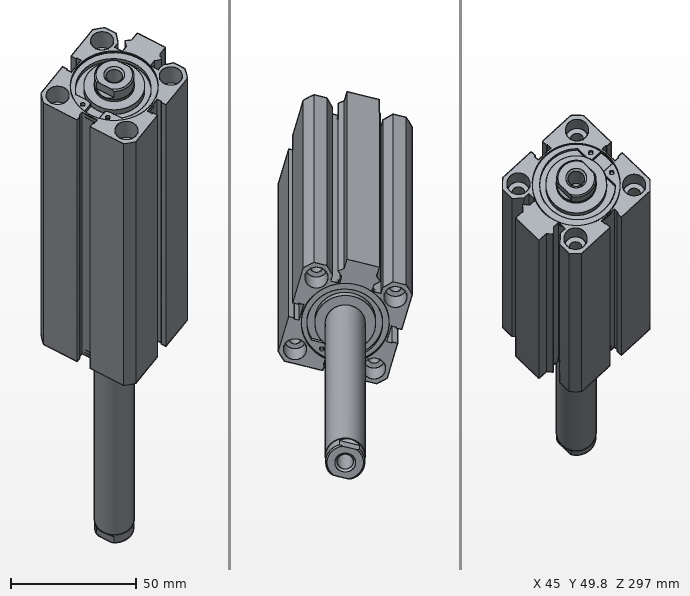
import cadquery as cq
import math


barrel_width = 45.0
barrel_length = 158.3
half_width = barrel_width / 2
corner_flat = 19.0
corner_radius = math.hypot(half_width, corner_flat)
slot_mouth_width = 6.2
slot_inner_width = 7.0
slot_lip = 2.5
slot_floor = 18.0

rib_top = 27.3
rib_width = 13.5
channel_width = 20.8
channel_floor = 16.3
rib_foot_overlap = 0.5
barb_width = 17.5
barb_top = 23.2
barb_tip = 21.5
barb_bottom = 19.3

hole_pitch = 32.7
hole_diameter = 5.0
counterbore_diameter = 9.2
counterbore_depth = 10.5

bore_radius = 17.5
ring_outer_radius = 17.8
ring_inner_radius = 15.0
ring_inner_offset = 0.75
ring_thickness = 1.8
ring_depth = 1.2
ring_gap = 6.8
lug_edge = 11.3
lug_hole_diameter = 1.8
lug_hole_x = 6.0
lug_hole_y = -14.0
cover_thickness = 14.8
collar_radius = 12.2
collar_clearance = 0.3

total_length = 297.0
rod_diameter = 16.0
rod_top_projection = 7.0
tip_diameter = 15.7
tip_length = 6.0
tip_chamfer = 0.5
flats_width = 13.5
thread_diameter = 6.5
thread_depth = 14.8
thread_countersink = 8.3
drill_point_angle = 118.0

rod_top = barrel_length + rod_top_projection
rod_bottom = rod_top - total_length


def cylinder(radius, bottom, height):
    return cq.Workplane("XY").workplane(offset=bottom).circle(radius).extrude(height)


def at_both_ends(shape):
    """Return the shape made for the upper barrel end and its mirror image at the lower end."""
    return [shape, shape.mirror("XY", (0, 0, barrel_length / 2))]


def make_barrel():
    square = cq.Workplane("XY").rect(barrel_width, barrel_width).extrude(barrel_length)
    barrel = square.intersect(cylinder(corner_radius, 0, barrel_length))
    barrel = cut_channel(barrel).union(make_rib())
    barrel = cut_slots(barrel)
    barrel = barrel.cut(cylinder(bore_radius, 0, barrel_length))
    groove_bottom = barrel_length - ring_depth - ring_thickness
    for groove in at_both_ends(cylinder(ring_outer_radius, groove_bottom, ring_thickness)):
        barrel = barrel.cut(groove)
    return cut_mounting_holes(barrel)


def cut_channel(barrel):
    """Cut the channel for the rib, with its upper edges sloped like the barrel corners."""
    half_channel = channel_width / 2
    half_mouth = hole_pitch - corner_flat
    channel = (
        cq.Workplane("XY")
        .moveTo(-half_channel, channel_floor)
        .lineTo(half_channel, channel_floor)
        .lineTo(half_channel, corner_flat)
        .lineTo(half_mouth, half_width)
        .lineTo(-half_mouth, half_width)
        .lineTo(-half_channel, corner_flat)
        .close()
        .extrude(barrel_length)
    )
    return barrel.cut(channel)


def make_rib():
    """Rib with a pointed barb along each flank; its foot is trimmed later by the bore."""
    foot = channel_floor - rib_foot_overlap
    half_rib = rib_width / 2
    half_barb = barb_width / 2
    right_side = [
        (half_rib, foot),
        (half_rib, barb_bottom),
        (half_barb, barb_tip),
        (half_rib, barb_top),
        (half_rib, rib_top),
    ]
    left_side = [(-x, y) for x, y in reversed(right_side)]
    return cq.Workplane("XY").polyline(right_side + left_side).close().extrude(barrel_length)


def cut_slots(barrel):
    """Sensor slots with narrowed mouths along the -X, -Y and +X sides."""
    half_mouth = slot_mouth_width / 2
    half_inner = slot_inner_width / 2
    lip_inside = half_width - slot_lip
    upper_side = [
        (slot_floor, half_inner),
        (lip_inside, half_inner),
        (lip_inside, half_mouth),
        (half_width, half_mouth),
    ]
    lower_side = [(x, -y) for x, y in reversed(upper_side)]
    slot = cq.Workplane("XY").polyline(upper_side + lower_side).close().extrude(barrel_length)
    for angle in (0, 180, 270):
        barrel = barrel.cut(slot.rotate((0, 0, 0), (0, 0, 1), angle))
    return barrel


def cut_mounting_holes(barrel):
    """Four through holes, counterbored from both ends."""
    pattern = cq.Workplane("XY").rect(hole_pitch, hole_pitch, forConstruction=True).vertices()
    barrel = barrel.cut(pattern.circle(hole_diameter / 2).extrude(barrel_length))
    upper_counterbores = (
        cq.Workplane("XY")
        .workplane(offset=barrel_length - counterbore_depth)
        .rect(hole_pitch, hole_pitch, forConstruction=True)
        .vertices()
        .circle(counterbore_diameter / 2)
        .extrude(counterbore_depth)
    )
    for counterbores in at_both_ends(upper_counterbores):
        barrel = barrel.cut(counterbores)
    return barrel


def make_upper_cover():
    """Disc behind the snap ring, with a collar level with the barrel end around the rod."""
    bottom = barrel_length - cover_thickness
    shoulder_height = cover_thickness - ring_depth - ring_thickness
    cover = cylinder(bore_radius, bottom, shoulder_height)
    cover = cover.union(cylinder(collar_radius, bottom, cover_thickness))
    return cover.cut(cylinder(rod_diameter / 2, bottom, cover_thickness))


def make_upper_snap_ring():
    """Open ring with a drilled lug on each side of its gap."""
    bottom = barrel_length - ring_depth - ring_thickness
    plane = cq.Workplane("XY").workplane(offset=bottom)
    disc = cylinder(ring_outer_radius, bottom, ring_thickness)
    opening = cylinder(ring_inner_radius, bottom, ring_thickness).translate((0, -ring_inner_offset, 0))
    below_lug_edge = (
        plane.center(0, -lug_edge - ring_outer_radius / 2)
        .rect(2 * ring_outer_radius, ring_outer_radius)
        .extrude(ring_thickness)
    )
    gap = plane.center(0, -ring_outer_radius / 2).rect(ring_gap, ring_outer_radius).extrude(ring_thickness)
    lug_holes = (
        plane.pushPoints([(-lug_hole_x, lug_hole_y), (lug_hole_x, lug_hole_y)])
        .circle(lug_hole_diameter / 2)
        .extrude(ring_thickness)
    )
    ring = disc.cut(opening.cut(below_lug_edge))
    ring = ring.cut(cylinder(collar_radius + collar_clearance, bottom, ring_thickness))
    return ring.cut(gap).cut(lug_holes)


def make_rod_tip_cuts():
    """Wrench flats at the upper rod tip, each ending in a 45 degree slope."""
    overhang = rod_diameter
    flat = flats_width / 2
    step = rod_diameter / 2 - flat
    shoulder = rod_top - tip_length
    one_flat = (
        cq.Workplane("YZ")
        .moveTo(flat, rod_top)
        .lineTo(flat, shoulder + step)
        .lineTo(flat + step, shoulder)
        .lineTo(overhang, shoulder)
        .lineTo(overhang, rod_top)
        .close()
        .extrude(rod_diameter, both=True)
    )
    return one_flat.union(one_flat.mirror("XZ"))


def make_threaded_hole():
    """Blind hole in the upper rod tip with a countersunk mouth and a drill point."""
    radius = thread_diameter / 2
    mouth = thread_countersink / 2
    point_depth = radius / math.tan(math.radians(drill_point_angle / 2))
    return (
        cq.Workplane("XZ")
        .moveTo(0, rod_top)
        .lineTo(mouth, rod_top)
        .lineTo(radius, rod_top - (mouth - radius))
        .lineTo(radius, rod_top - thread_depth)
        .lineTo(0, rod_top - thread_depth - point_depth)
        .close()
        .revolve(360, (0, 0, 0), (0, 1, 0))
    )


def make_rod():
    """Through rod with the same flatted and threaded tip at each end."""
    rod = cylinder(tip_diameter / 2, rod_bottom, total_length).edges().chamfer(tip_chamfer)
    rod = rod.union(cylinder(rod_diameter / 2, rod_bottom + tip_length, total_length - 2 * tip_length))
    middle = (0, 0, (rod_top + rod_bottom) / 2)
    for cutter in (make_rod_tip_cuts(), make_threaded_hole()):
        rod = rod.cut(cutter).cut(cutter.mirror("XY", middle))
    return rod


barrel = make_barrel()
rod = make_rod()
covers = at_both_ends(make_upper_cover())
snap_rings = at_both_ends(make_upper_snap_ring())

result = cq.Compound.makeCompound(
    [barrel.val(), rod.val()]
    + [cover.val() for cover in covers]
    + [ring.val() for ring in snap_rings]
)